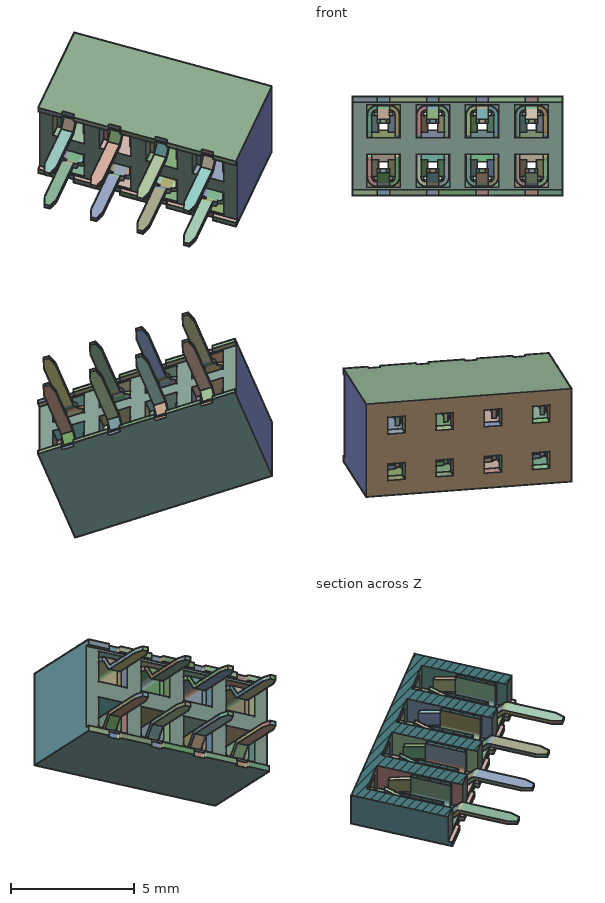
import cadquery as cq
import math


columns = 4
pitch = 2.0
row_height = pitch / 2

housing_length = 8.5
housing_depth = 4.3
housing_height = 4.0
lip_depth = 0.18
lip_thickness = 0.24

cavity_width = 1.35
cavity_height = 1.32
end_wall = 0.5
mating_hole = 0.71

notch_width = 0.5
notch_depth = 0.16
notch_fillet = 0.05

strip = 0.18
clearance = 0.025
wall_bend_radius = 0.39
web_bend_radius = 0.36
tail_width = 0.5
tail_length = 2.4
tip_width = 0.25
tip_length = 0.4
slope_angle = math.radians(50)
base_length = 1.7
corner_round = 0.11
beam_height = 0.69
beam_length = 0.85
beam_gap = 0.39

web_top = cavity_height / 2 - clearance
wall_bottom = -cavity_height / 2
arc_height = web_top - wall_bend_radius
wall_outside = cavity_width / 2 - clearance
wall_inside = wall_outside - strip

slope_sin = math.sin(slope_angle)
slope_cos = math.cos(slope_angle)
bend_drop = web_bend_radius * (1 - slope_cos)
slope_run = (web_top - bend_drop - strip / 2) * slope_cos / slope_sin
base_front = slope_run + web_bend_radius * slope_sin
base_back = base_front + base_length


def box_between(x_range, y_range, z_range):
    """A box given by its lower and upper limit along each axis."""
    size = [high - low for low, high in (x_range, y_range, z_range)]
    corner = (x_range[0], y_range[0], z_range[0])
    return cq.Workplane("XY").box(*size, centered=False).translate(corner)


def make_notch():
    """Cutter for one lip notch, with rounded mouth edges and rounded inner corners."""
    half = notch_width / 2
    mouth = half + notch_fillet
    floor = half - notch_fillet
    inset = notch_fillet * (1 - math.cos(math.pi / 4))
    return (
        cq.Workplane("XY")
        .moveTo(-mouth, 0)
        .threePointArc((-half - inset, inset), (-half, notch_fillet))
        .lineTo(-half, notch_depth - notch_fillet)
        .threePointArc((-half + inset, notch_depth - inset), (-floor, notch_depth))
        .lineTo(floor, notch_depth)
        .threePointArc((half - inset, notch_depth - inset), (half, notch_depth - notch_fillet))
        .lineTo(half, notch_fillet)
        .threePointArc((half + inset, inset), (mouth, 0))
        .close()
        .extrude(lip_thickness)
    )


def make_housing(positions):
    """The block with its board-side recess, and a cavity, a mating hole and a lip notch per contact."""
    half_height = housing_height / 2
    recess_half = half_height - lip_thickness
    half_length = housing_length / 2
    body = box_between((-half_length, half_length), (0, housing_depth), (-half_height, half_height))
    body = body.cut(
        box_between((-half_length, half_length), (0, lip_depth), (-recess_half, recess_half))
    )
    cavity = box_between(
        (-cavity_width / 2, cavity_width / 2),
        (0, housing_depth - end_wall),
        (-cavity_height / 2, cavity_height / 2),
    )
    hole = box_between(
        (-mating_hole / 2, mating_hole / 2),
        (0, housing_depth),
        (-mating_hole / 2, mating_hole / 2),
    )
    opening = cavity.union(hole)
    notch = make_notch()
    for x, side in positions:
        body = body.cut(opening.translate((x, 0, side * row_height)))
        lip_base = recess_half if side > 0 else -half_height
        body = body.cut(notch.translate((x, 0, lip_base)))
    return body


def make_tail():
    """Pointed tail and the sloped strip that lifts it to the web."""
    top = strip / 2
    slope_end = web_top - bend_drop
    inner_radius = web_bend_radius - strip
    half_angle = slope_angle / 2
    bend_centre = web_top - web_bend_radius

    def on_web_bend(radius, angle):
        return (base_front - radius * math.sin(angle), bend_centre + radius * math.cos(angle))

    def on_tail_bend(angle):
        return (strip * math.sin(angle), top - strip * math.cos(angle))

    side_profile = (
        cq.Workplane("YZ")
        .moveTo(-tail_length, top)
        .lineTo(0, top)
        .lineTo(slope_run, slope_end)
        .threePointArc(on_web_bend(web_bend_radius, half_angle), (base_front, web_top))
        .lineTo(base_front, web_top - strip)
        .threePointArc(on_web_bend(inner_radius, half_angle), on_web_bend(inner_radius, slope_angle))
        .lineTo(*on_tail_bend(slope_angle))
        .threePointArc(on_tail_bend(half_angle), (0, -top))
        .lineTo(-tail_length, -top)
        .close()
        .extrude(tail_width / 2, both=True)
    )
    half_tail = tail_width / 2
    half_tip = tip_width / 2
    outline = (
        cq.Workplane("XY")
        .polyline(
            [
                (-half_tip, -tail_length),
                (half_tip, -tail_length),
                (half_tail, tip_length - tail_length),
                (half_tail, base_front),
                (-half_tail, base_front),
                (-half_tail, tip_length - tail_length),
            ]
        )
        .close()
        .extrude(cavity_height, both=True)
    )
    return side_profile.intersect(outline)


def make_base():
    """U-shaped base: a web with a wall bent down along each side."""
    outside = box_between(
        (-wall_outside, wall_outside), (base_front, base_back), (wall_bottom, web_top)
    )
    outside = outside.edges("|Y and >Z").fillet(wall_bend_radius)
    outside = outside.edges("|X and <Z and <Y").fillet(corner_round)
    inside = box_between(
        (-wall_inside, wall_inside), (base_front, base_back), (wall_bottom, web_top - strip)
    )
    return outside.cut(inside.edges("|Y and >Z").fillet(wall_bend_radius - strip))


def make_beams():
    """Spring beams that run on from the two walls and close in on each other."""
    tip = beam_gap / 2
    beam_back = base_back + beam_length
    beam = (
        cq.Workplane("XY", origin=(0, 0, arc_height - beam_height))
        .polyline(
            [
                (wall_inside, base_back),
                (wall_outside, base_back),
                (tip + strip, beam_back),
                (tip, beam_back),
            ]
        )
        .close()
        .extrude(beam_height)
    )
    return beam.union(beam.mirror("YZ"))


def make_contact():
    """One contact of the upper row, centred on its tail."""
    return make_base().union(make_tail()).union(make_beams())


positions = [
    ((column - (columns - 1) / 2) * pitch, side) for side in (1, -1) for column in range(columns)
]

housing = make_housing(positions)

upper_contact = make_contact()
lower_contact = upper_contact.mirror("XY")
contacts = []
for x, side in positions:
    contact = upper_contact if side > 0 else lower_contact
    contacts.append(contact.translate((x, 0, side * row_height)).val())

result = cq.Compound.makeCompound([housing.val(), *contacts])